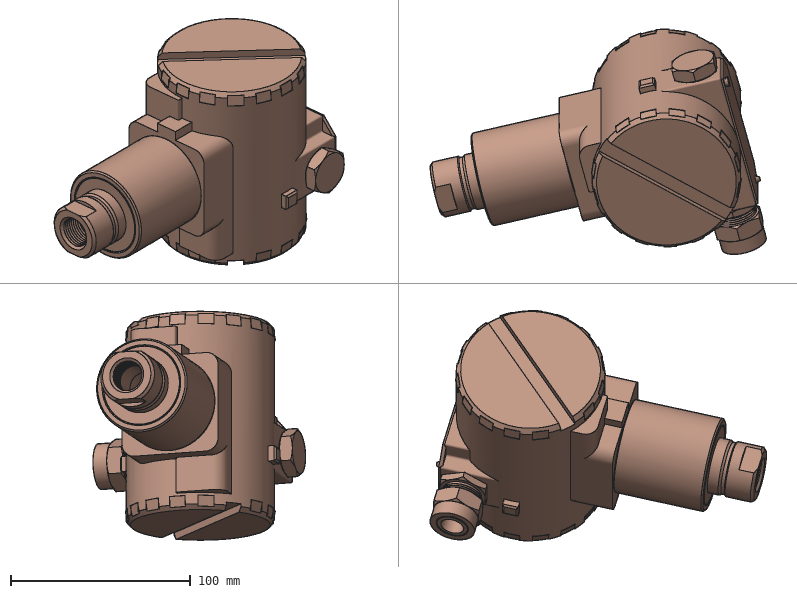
import cadquery as cq
import math

barrel_radius = 41.3
barrel_height = 113.0
half_height = barrel_height / 2
rim_chamfer_height = 2.7
rim_chamfer_width = 2.5

facet_count = 16
facet_width = 9.0
facet_low_z = 49.0
facet_high_z = 55.0
facet_low_radius = 41.5
facet_high_radius = 40.1
facet_overlap = 1.8
slot_width = 9.0
slot_depth = 4.2
top_slot_angle = 45.0
bottom_slot_angle = 135.0

neck_z = 0.5
neck_half_width = 28.1
neck_front_y = -54.5
neck_fillet = 7.0
pad_front_y = -44.4
pad_half_height = 47.4
pad_edge_fillet = 1.0
key_half_width = 6.7
key_top_z = 34.3

box_back_y = 41.3
box_half_width = 40.6
box_bottom_z = -26.7
box_step_z = 1.2
box_top_z = 11.5
box_upper_half_width = 31.6
box_fillet = 1.0

plate_inset = 0.9
plate_back_y = 42.4
screw_end_y = 44.7
screw_x = 35.3
pointed_screw_z = -3.7
flat_screw_z = -21.5
pointed_screw_diameter = 4.6
pointed_screw_tip_diameter = 2.0
flat_screw_diameter = 5.7
flat_screw_base_diameter = 4.6
flat_screw_slot_width = 0.9
flat_screw_slot_depth = 1.2

lug_end_x = 45.6
lug_width = 9.0
lug_height = 8.7
lug_z = -19.6
lug_chamfer = 1.0

sleeve_radius = 26.5
sleeve_front_y = -105.7
sleeve_chamfer = 0.9
root_gap = 0.5
recess_radius = 22.3
recess_depth = 5.3
recess_chamfer = 0.7

spigot_diameter = 31.5
spigot_radius = spigot_diameter / 2
spigot_front_y = -132.0
spigot_chamfer = 1.6
groove_back_y = -111.9
groove_width = 4.0
groove_depth = 0.9
groove_back_slope = 1.5
groove_front_slope = 0.7
flats_across = 27.0
flats_back_y = -122.0
bore_diameter = 16.8
bore_thread_diameter = 18.4
bore_mouth_diameter = 19.8
bore_thread_pitch = 1.6
bore_thread_turns = 8

port_y = 27.4
port_z = -12.7
gland_end_x = -67.7
gland_collar_diameter = 25.6
nut_back_x = -59.5
nut_front_x = -50.0
gland_hex_across = 26.0
thread_end_x = -46.3
thread_diameter = 23.7
thread_pitch = 1.2
gland_neck_diameter = 22.0
gland_hex_back_x = -44.9
hex_chamfer_length = 1.6
gland_bore_diameter = 13.0
seal_groove_inner_diameter = 17.7
seal_groove_outer_diameter = 18.4
seal_groove_depth = 0.7
plug_end_x = 48.8
plug_hex_across = 23.9
plug_neck_diameter = 22.0
plug_neck_length = 0.5


def block(x_range, y_range, z_range):
    """Box spanning the given (low, high) limits."""
    size = [high - low for low, high in (x_range, y_range, z_range)]
    corner = (x_range[0], y_range[0], z_range[0])
    return cq.Workplane("XY").box(*size, centered=False).translate(corner)


def turned_along_y(profile):
    """Revolve (radius, y) points about the neck axis, which is parallel to Y."""
    axis_start, axis_end = (0, 0), (0, 1)
    turned = cq.Workplane("XY").polyline(profile).close().revolve(360, axis_start, axis_end)
    return turned.translate((0, 0, neck_z))


def turned_along_x(profile):
    """Revolve (x, radius) points about the port axis, which is parallel to X."""
    axis_start, axis_end = (0, 0), (1, 0)
    turned = cq.Workplane("XY").polyline(profile).close().revolve(360, axis_start, axis_end)
    return turned.translate((0, port_y, port_z))


def thread_ridges(start, pitch, turns, base_radius, crest_radius):
    """(position, radius) points of a row of V-shaped ridges, from one base to the next."""
    points = [(start, base_radius)]
    for turn in range(turns):
        points.append((start + (turn + 0.5) * pitch, crest_radius))
        points.append((start + (turn + 1) * pitch, base_radius))
    return points


def hexagon_along_x(start_x, end_x, across_flats, chamfer_start, chamfer_end):
    """Hexagon bar on the port axis, corners up and down, with conical end chamfers."""
    length = end_x - start_x
    corner_diameter = across_flats / math.cos(math.pi / 6)
    bar = cq.Workplane("YZ").polygon(6, corner_diameter).extrude(length)
    bar = bar.rotate((0, 0, 0), (1, 0, 0), 90).translate((start_x, port_y, port_z))
    inner = across_flats / 2
    outer = inner + hex_chamfer_length * math.tan(math.pi / 3)
    profile = [(start_x, 0), (start_x, inner if chamfer_start else outer)]
    if chamfer_start:
        profile.append((start_x + hex_chamfer_length, outer))
    if chamfer_end:
        profile.append((end_x - hex_chamfer_length, outer))
    profile += [(end_x, inner if chamfer_end else outer), (end_x, 0)]
    return bar.intersect(turned_along_x(profile))


def barrel():
    """Upright cylinder with a chamfer on both rims."""
    body = cq.Workplane("XY").cylinder(barrel_height, barrel_radius)
    body = body.faces(">Z").chamfer(rim_chamfer_height, rim_chamfer_width)
    return body.faces("<Z").chamfer(rim_chamfer_height, rim_chamfer_width)


def facet_prism(profile, angle, upper):
    """Prism of one facet's width from an (x, z) profile, turned to its place on a rim."""
    prism = cq.Workplane("XZ").polyline(profile).close().extrude(facet_width / 2, both=True)
    if not upper:
        prism = prism.mirror("XY")
    return prism.rotate((0, 0, 0), (0, 0, 1), angle)


def add_grip_facets(body):
    """Sloping flat facets that sink into the rim chamfer and stand out at their other end."""
    root_radius = facet_high_radius - facet_overlap
    clear_radius = facet_low_radius + facet_overlap
    low_point = (facet_low_radius, facet_low_z)
    high_point = (facet_high_radius, facet_high_z)
    waste = [low_point, high_point, (clear_radius, facet_high_z), (clear_radius, facet_low_z)]
    wedge = [low_point, high_point, (root_radius, facet_high_z), (root_radius, facet_low_z)]
    for upper, slot_angle in ((True, top_slot_angle), (False, bottom_slot_angle)):
        for index in range(facet_count):
            angle = index * 360 / facet_count
            if angle % 180 == slot_angle:
                continue
            body = body.cut(facet_prism(waste, angle, upper)).union(facet_prism(wedge, angle, upper))
    return body


def wrench_slot(angle, end_z):
    """Bar that cuts a slot across the end face at end_z."""
    bar = cq.Workplane("XY").box(3 * barrel_radius, slot_width, 2 * slot_depth)
    return bar.rotate((0, 0, 0), (0, 0, 1), angle).translate((0, 0, end_z))


def neck():
    """Rounded square neck with two staggered pads and a key on top."""
    width = 2 * neck_half_width
    body = block((-neck_half_width, neck_half_width), (neck_front_y, 0), (0, width))
    body = body.translate((0, 0, neck_z - neck_half_width)).edges("|Y").fillet(neck_fillet)
    upper_pad = block((-neck_half_width, 0), (pad_front_y, 0), (0, pad_half_height))
    upper_pad = upper_pad.edges("|Z and <X and <Y").fillet(neck_fillet)
    upper_pad = upper_pad.edges("|Z and >X and <Y").fillet(pad_edge_fillet)
    lower_pad = upper_pad.rotate((0, 0, 0), (0, 1, 0), 180)
    key = block((-key_half_width, key_half_width), (neck_front_y, 0), (0, key_top_z))
    return body.union(upper_pad).union(lower_pad).union(key)


def plate_outline(inset):
    """(x, z) outline of the name plate: the box shape with its steps replaced by bevels."""
    low_x = box_half_width - inset
    high_x = box_upper_half_width - inset
    right = [(low_x, box_bottom_z + inset), (low_x, box_step_z - inset), (high_x, box_top_z - inset)]
    return right + [(-x, z) for x, z in reversed(right)]


def terminal_box():
    """Stepped box with rounded edges, reaching from the barrel axis to its back face."""
    right = [
        (box_half_width, box_bottom_z),
        (box_half_width, box_step_z),
        (box_upper_half_width, box_step_z),
        (box_upper_half_width, box_top_z),
    ]
    outline = right + [(-x, z) for x, z in reversed(right)]
    body = cq.Workplane("XZ").polyline(outline).close().extrude(-box_back_y)
    return body.edges("|Y").fillet(box_fillet).faces(">Y").edges().fillet(box_fillet)


def name_plate():
    """Bevelled plate let into the back of the box, standing slightly proud of it."""
    front_y = box_back_y - box_fillet
    sketch = cq.Workplane("XZ", origin=(0, front_y, 0)).polyline(plate_outline(plate_inset)).close()
    return sketch.extrude(front_y - plate_back_y)


def screw(x, z, base_diameter, end_diameter):
    """Tapered screw head on the back of the name plate."""
    head = cq.Solid.makeCone(
        base_diameter / 2,
        end_diameter / 2,
        screw_end_y - plate_back_y,
        pnt=cq.Vector(x, plate_back_y, z),
        dir=cq.Vector(0, 1, 0),
    )
    return cq.Workplane(head)


def flat_screw_slot():
    """Bar that cuts the driver slot, along X, into the flat screw head."""
    bar = cq.Workplane("XY").box(2 * flat_screw_diameter, 2 * flat_screw_slot_depth, flat_screw_slot_width)
    return bar.translate((screw_x, screw_end_y, flat_screw_z))


def earthing_lugs():
    """Square bar through the barrel whose chamfered ends stand out on both sides."""
    bar = cq.Workplane("XY").box(2 * lug_end_x, lug_width, lug_height)
    return bar.faces("<X or >X").chamfer(lug_chamfer).translate((0, 0, lug_z))


def make_housing():
    pressure_bore = turned_along_y(
        [(0, 0), (bore_diameter / 2, 0), (bore_diameter / 2, neck_front_y), (0, neck_front_y)]
    )
    cable_bore_radius = gland_bore_diameter / 2
    cable_bore = turned_along_x(
        [(-box_half_width, 0), (-box_half_width, cable_bore_radius), (0, cable_bore_radius), (0, 0)]
    )
    body = neck().cut(pressure_bore).union(terminal_box().cut(cable_bore)).union(name_plate())
    body = body.union(barrel()).union(earthing_lugs())
    body = body.union(screw(-screw_x, pointed_screw_z, pointed_screw_diameter, pointed_screw_tip_diameter))
    body = body.union(screw(screw_x, flat_screw_z, flat_screw_base_diameter, flat_screw_diameter))
    body = body.cut(flat_screw_slot())
    body = add_grip_facets(body)
    body = body.cut(wrench_slot(top_slot_angle, half_height))
    return body.cut(wrench_slot(bottom_slot_angle, -half_height))


def make_sleeve():
    """Tube with a recess in its front end for the process connection."""
    bore_radius = bore_diameter / 2
    recess_floor_y = sleeve_front_y + recess_depth
    return turned_along_y([
        (bore_radius, neck_front_y),
        (sleeve_radius - root_gap, neck_front_y),
        (sleeve_radius, neck_front_y - root_gap),
        (sleeve_radius, sleeve_front_y + sleeve_chamfer),
        (sleeve_radius - sleeve_chamfer, sleeve_front_y),
        (recess_radius + recess_chamfer, sleeve_front_y),
        (recess_radius, sleeve_front_y + recess_chamfer),
        (recess_radius, recess_floor_y),
        (bore_radius, recess_floor_y),
    ])


def make_connection():
    """Flange and grooved spigot with two wrench flats and a threaded bore."""
    groove_radius = spigot_radius - groove_depth
    groove_front_y = groove_back_y - groove_width
    flange_back_y = sleeve_front_y + recess_depth
    core_radius = bore_diameter / 2
    crest_radius = bore_thread_diameter / 2
    mouth_radius = bore_mouth_diameter / 2
    mouth_depth = mouth_radius - core_radius
    thread_start_y = spigot_front_y + mouth_depth
    outside = [
        (recess_radius, flange_back_y),
        (recess_radius, sleeve_front_y),
        (spigot_radius, sleeve_front_y),
        (spigot_radius, groove_back_y),
        (groove_radius, groove_back_y - groove_back_slope),
        (groove_radius, groove_front_y + groove_front_slope),
        (spigot_radius, groove_front_y),
        (spigot_radius, spigot_front_y + spigot_chamfer),
        (spigot_radius - spigot_chamfer, spigot_front_y),
    ]
    ridges = thread_ridges(thread_start_y, bore_thread_pitch, bore_thread_turns, core_radius, crest_radius)
    inside = [(mouth_radius, spigot_front_y)] + [(radius, y) for y, radius in ridges]
    body = turned_along_y(outside + inside + [(core_radius, flange_back_y)])
    for side in (-1, 1):
        flat_centre_z = neck_z + side * flats_across
        flat_length = flats_back_y - spigot_front_y
        waste = cq.Workplane("XY").box(2 * spigot_radius, flat_length, flats_across)
        body = body.cut(waste.translate((0, flats_back_y - flat_length / 2, flat_centre_z)))
    return body


def make_gland():
    """Collar, cap nut, thread and mounting hexagon in one piece, with a bore right through."""
    neck_radius = gland_neck_diameter / 2
    collar_radius = gland_collar_diameter / 2
    turns = round((thread_end_x - nut_front_x) / thread_pitch)
    ridges = thread_ridges(nut_front_x, thread_pitch, turns, neck_radius, thread_diameter / 2)
    core = [
        (gland_end_x, 0),
        (gland_end_x, collar_radius),
        (nut_back_x, collar_radius),
        (nut_back_x, neck_radius),
    ]
    core += ridges
    core += [(-box_half_width, neck_radius), (-box_half_width, 0)]
    body = turned_along_x(core)
    body = body.union(hexagon_along_x(nut_back_x, nut_front_x, gland_hex_across, True, True))
    body = body.union(hexagon_along_x(gland_hex_back_x, -box_half_width, gland_hex_across, True, False))

    bore_radius = gland_bore_diameter / 2
    bore = turned_along_x([
        (gland_end_x, 0),
        (gland_end_x, bore_radius),
        (-box_half_width, bore_radius),
        (-box_half_width, 0),
    ])
    groove_end_x = gland_end_x + seal_groove_depth
    seal_groove = turned_along_x([
        (gland_end_x, seal_groove_inner_diameter / 2),
        (gland_end_x, seal_groove_outer_diameter / 2),
        (groove_end_x, seal_groove_outer_diameter / 2),
        (groove_end_x, seal_groove_inner_diameter / 2),
    ])
    return body.cut(bore).cut(seal_groove)


def make_plug():
    """Chamfered hexagon standing on a short round neck."""
    hex_start_x = box_half_width + plug_neck_length
    neck_radius = plug_neck_diameter / 2
    stem = turned_along_x(
        [(box_half_width, 0), (box_half_width, neck_radius), (hex_start_x, neck_radius), (hex_start_x, 0)]
    )
    return stem.union(hexagon_along_x(hex_start_x, plug_end_x, plug_hex_across, True, True))


housing = make_housing()
sleeve = make_sleeve()
connection = make_connection()
gland = make_gland()
plug = make_plug()

result = cq.Compound.makeCompound(
    [housing.val(), sleeve.val(), connection.val(), gland.val(), plug.val()]
)